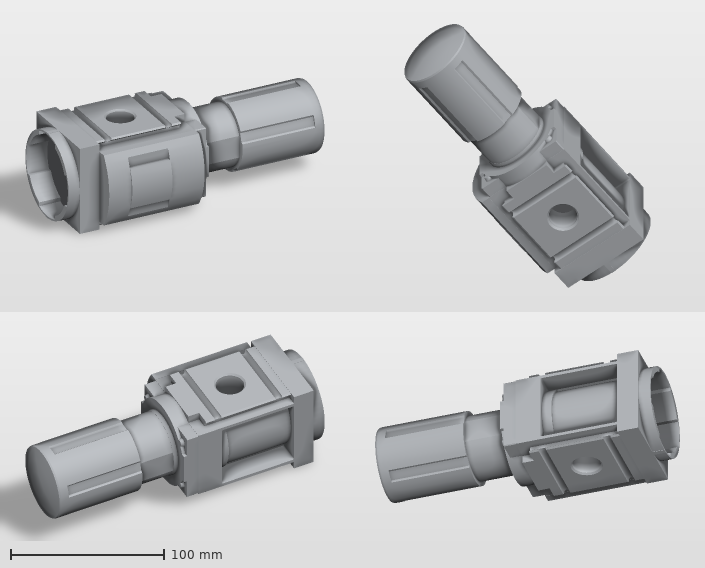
import cadquery as cq
import math

length = 194.7
body_width = 62.0
half_width = body_width / 2

plate_start = 8.2
body_start = 22.5
body_end = 92.5
collar_end = 103.0
flange_step = 104.2
flange_end = 106.0
knob_start = 130.5
knob_rim = 189.7
dome_start = 190.8

ring_outer_radius = 30.8
ring_inner_radius = 27.0
ring_slot_radius = 29.6
ring_slot_width = 22.2
ring_depth = 15.5
key_width = 3.1

body_half_height = 25.3
port_y = 53.7
port_diameter = 18.7
port_depth = 19.5
port_chamfer = 1.2
rail_end = 84.7
rail_top = 30.8
rail_top_half = 25.5
rail_wide_half = 26.7
rail_web_half = 24.1
rail_wide_drop = 1.0
rail_web_drop = 3.0
stem_width = 33.0
rail_groove_radius = 2.5
rail_groove_places = (31.4, 75.7)

window_end = 75.4
window_step = 68.7
window_height = 46.3
window_wall_x = -15.5
window_fillet = 1.0
bowl_radius = 26.5
bowl_lip_radius = 28.0

cover_radius = 44.8
cover_half_height = 25.5
cover_extra = 1.2
button_start = 39
button_end = 68.4
button_floor_x = 39.3
button_shoulder_x = 42.8
button_half_height = 14.2

collar_disc_radius = 30.2
collar_half_width = 30.8
collar_half_height = 25.1
collar_chamfer = 0.5
corner_depth = 2.3
corner_inner_z = 11.0
screw_x = 24.3
screw_z = 18.0
screw_diameter = 6.0
screw_top_diameter = 4.5

flange_diameter = 45.0
flange_top_diameter = 44.0
neck_diameter = 43.8
neck_width = 40.9
knob_diameter = 50.2
dome_base_diameter = 49.5
grip_count = 5
grip_end = 184.0
grip_half_width = 4.3
grip_floor_half_width = 3.1
grip_depth = 1.4


def block(x0, x1, y0, y1, z0, z1):
    """Box between two opposite corners."""
    return cq.Workplane("XY").box(x1 - x0, y1 - y0, z1 - z0, centered=False).translate((x0, y0, z0))


def section_at(y):
    """Workplane across the main axis, with local axes X and Z; extruding by a negative depth goes to +Y."""
    return cq.Workplane("XZ", origin=(0, y, 0))


def disc(radius, y0, y1):
    """Cylinder about the main axis."""
    return section_at(y0).circle(radius).extrude(y0 - y1)


def both_faces(feature):
    """A feature of the top face together with its mirror image on the bottom face."""
    return feature.union(feature.mirror("XY"))


def make_ring_and_plate():
    plate = block(-half_width, half_width, plate_start, body_start, -half_width, half_width)
    ring = disc(ring_outer_radius, 0, plate_start)
    key = block(-key_width / 2, key_width / 2, 0, plate_start, -half_width, half_width)
    slots = section_at(0).rect(ring_slot_width, body_width).extrude(-ring_depth)
    slots = slots.union(slots.rotate((0, 0, 0), (0, 1, 0), 90))
    slots = slots.intersect(disc(ring_slot_radius, 0, ring_depth))
    recess = disc(ring_inner_radius, 0, ring_depth).union(slots)
    return plate.union(ring).union(key).cut(recess)


def make_rail():
    """T-shaped mounting pad with undercut flanks and two cross grooves."""
    wide_z = rail_top - rail_wide_drop
    web_z = rail_top - rail_web_drop
    right_flank = [
        (rail_web_half, 0),
        (rail_web_half, web_z),
        (rail_wide_half, wide_z),
        (rail_top_half, rail_top),
    ]
    left_flank = [(-x, z) for x, z in reversed(right_flank)]
    rail = section_at(body_start).polyline(right_flank + left_flank).close().extrude(body_start - rail_end)
    for y in rail_groove_places:
        groove = cq.Workplane("YZ", origin=(-half_width, y, rail_top)).circle(rail_groove_radius)
        rail = rail.cut(groove.extrude(body_width))
    stem = block(-stem_width / 2, stem_width / 2, rail_end, body_end, 0, rail_top)
    return rail.union(stem)


def make_port():
    """Blind port with a chamfered mouth, sunk from the top pad."""
    radius = port_diameter / 2
    face = cq.Workplane("XY", origin=(0, port_y, rail_top))
    mouth = cq.Solid.makeCone(
        radius + port_chamfer, radius, port_chamfer, cq.Vector(0, port_y, rail_top), cq.Vector(0, 0, -1)
    )
    return face.circle(radius).extrude(-port_depth).union(cq.Workplane(mouth))


def make_window():
    """Space around the bowl that is open on the -X side."""
    half_height = window_height / 2
    window = block(-half_width, window_wall_x, body_start, window_end, -half_height, half_height)
    window = window.edges("|X").fillet(window_fillet)
    bowl = disc(bowl_radius, body_start, window_step)
    lip = disc(bowl_lip_radius, window_step, window_end)
    return window.cut(bowl).cut(lip)


def make_body():
    core = block(-half_width, half_width, body_start, body_end, -body_half_height, body_half_height)
    body = core.union(both_faces(make_rail()))
    return body.cut(both_faces(make_port())).cut(make_window())


def make_cover():
    """Cover with a curved outer face, and a raised button standing in a flat cut across it."""
    edge_x = math.sqrt(cover_radius**2 - cover_half_height**2)
    cover = (
        section_at(body_start)
        .moveTo(half_width, -cover_half_height)
        .lineTo(edge_x, -cover_half_height)
        .threePointArc((cover_radius, 0), (edge_x, cover_half_height))
        .lineTo(half_width, cover_half_height)
        .close()
        .extrude(body_start - body_end)
    )
    flat_cut = block(
        button_floor_x, cover_radius, button_start, button_end, -cover_half_height, cover_half_height
    )
    button = (
        section_at(button_start)
        .moveTo(half_width, -button_half_height)
        .lineTo(button_shoulder_x, -button_half_height)
        .threePointArc((cover_radius + cover_extra, 0), (button_shoulder_x, button_half_height))
        .lineTo(half_width, button_half_height)
        .close()
        .extrude(button_start - button_end)
    )
    return cover.cut(flat_cut).union(button)


def make_collar():
    """Plate merged with a disc; screw heads stand in the recesses along its top and bottom sides."""
    plate = block(
        -collar_half_width, collar_half_width, body_end, collar_end, -collar_half_height, collar_half_height
    )
    plate = plate.edges("|Y").chamfer(collar_chamfer)
    corner_floor = collar_end - corner_depth
    for z0, z1 in ((-collar_half_height, -corner_inner_z), (corner_inner_z, collar_half_height)):
        plate = plate.cut(block(-collar_half_width, collar_half_width, corner_floor, collar_end, z0, z1))
    collar = plate.union(disc(collar_disc_radius, body_end, collar_end))
    for x in (-screw_x, screw_x):
        for z in (-screw_z, screw_z):
            screw = cq.Solid.makeCone(
                screw_diameter / 2,
                screw_top_diameter / 2,
                corner_depth,
                cq.Vector(x, corner_floor, z),
                cq.Vector(0, 1, 0),
            )
            collar = collar.union(cq.Workplane(screw))
    return collar


def make_neck():
    flange = (
        cq.Workplane("XY")
        .moveTo(0, collar_end)
        .lineTo(flange_diameter / 2, collar_end)
        .lineTo(flange_diameter / 2, flange_step)
        .lineTo(flange_top_diameter / 2, flange_end)
        .lineTo(0, flange_end)
        .close()
        .revolve(360, (0, 0, 0), (0, 1, 0))
    )
    neck = disc(neck_diameter / 2, flange_end, knob_start)
    flats = block(-neck_width / 2, neck_width / 2, flange_end, knob_start, -half_width, half_width)
    return flange.union(neck.intersect(flats))


def make_knob():
    """Domed knob with evenly spaced grip grooves open towards the neck."""
    radius = knob_diameter / 2
    dome_base = dome_base_diameter / 2
    dome_radius = (dome_base**2 + (length - dome_start) ** 2) / (2 * (length - dome_start))
    dome_mid_y = length - dome_radius + math.sqrt(dome_radius**2 - (dome_base / 2) ** 2)
    knob = (
        cq.Workplane("XY")
        .moveTo(0, knob_start)
        .lineTo(radius, knob_start)
        .lineTo(radius, knob_rim)
        .lineTo(dome_base, dome_start)
        .threePointArc((dome_base / 2, dome_mid_y), (0, length))
        .close()
        .revolve(360, (0, 0, 0), (0, 1, 0))
    )
    floor_z = radius - grip_depth
    edge_z = math.sqrt(radius**2 - grip_half_width**2)
    flank_slope = (grip_half_width - grip_floor_half_width) / (edge_z - floor_z)
    top_half_width = grip_half_width + flank_slope * (radius - edge_z)
    groove = (
        section_at(knob_start)
        .polyline([
            (-grip_floor_half_width, floor_z),
            (grip_floor_half_width, floor_z),
            (top_half_width, radius),
            (-top_half_width, radius),
        ])
        .close()
        .extrude(knob_start - grip_end)
    )
    for i in range(grip_count):
        knob = knob.cut(groove.rotate((0, 0, 0), (0, 1, 0), i * 360 / grip_count))
    return knob


result = make_ring_and_plate()
for section in (make_body(), make_cover(), make_collar(), make_neck(), make_knob()):
    result = result.union(section)